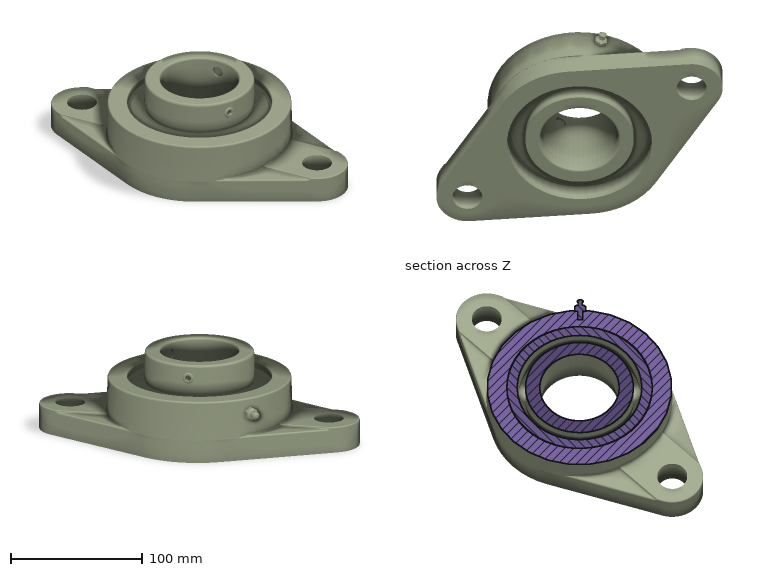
import cadquery as cq
import math

LENGTH = 249.0
WIDTH = 142.0
WAIST_RADIUS = 63.2
WAIST_CENTER = WIDTH / 2 - WAIST_RADIUS
BOLT_HOLE_DIAMETER = 23.0
BOLT_OFFSET = 100.8
END_RADIUS = LENGTH / 2 - BOLT_OFFSET
FLANGE_Z = 20.5
WEB_Z = 19.0
WEB_EDGE_ROUND = 1.2
PAD_HALF_WIDTH = 23.2
PAD_EDGE_ROUND = 1.0
PAD_STEP_ROUND = (FLANGE_Z - WEB_Z) / 2
PAD_TOP_HALF_WIDTH = PAD_HALF_WIDTH - PAD_STEP_ROUND

HUB_BASE_RADIUS = WIDTH / 2
HUB_BASE_Z = 18.0
HUB_TOP_RADIUS = 70.2
HUB_TOP_Z = 48.3
HUB_EDGE_ROUND = 1.5
HUB_CORNER_ROUND = 1.0
SEAT_RADIUS = 55.3
SEAT_EDGE_ROUND = 1.0

BEARING_Z = 29.1
OUTER_RING_HALF_WIDTH = 14.0
RACE_RADIUS = 47.3
COLLAR_RADIUS = 41.8
INNER_RING_RADIUS = 41.3
COLLAR_BOTTOM_Z = 46.3
INNER_RING_BOTTOM_Z = 3.7
INNER_RING_TOP_Z = 68.7
COLLAR_EDGE_ROUND = 2.0
BORE_RADIUS = 30.1
BORE_EDGE_ROUND = 1.7
SEAL_THICKNESS = 2.0
SEAL_RISE = 0.5
SEAL_RADIUS = 52.8
SEAL_RIM_HEIGHT = 0.5
SEAL_CONE_RADIUS = 98.4 / 2

SCREW_Z = 58.5
SCREW_RADIUS = 4.2
SCREW_ANGLES = (90, -30)
SCREW_OUTER_END = 42.5
SCREW_INNER_END = 31.4
SCREW_CHAMFER = 0.7
SOCKET_ACROSS_CORNERS = 5.0
SOCKET_DEPTH = 3.7

NIPPLE_Z = 36.0
NIPPLE_ANGLE = 135
NIPPLE_SHANK_START = 62.2
HEX_START = 69.7
HEX_SHOULDER = 73.5
HEX_END = 75.2
HEX_ACROSS_CORNERS = 10.5
HEX_TOP_RADIUS = 3.2
NECK_RADIUS = 2.5
HEAD_START = 77.5
HEAD_RADIUS = 3.0
HEAD_WIDEST = 78.2
HEAD_LENGTH = 1.0
TIP_RADIUS = 1.2
TIP_END = 80.7


def radial_plane(angle, z):
    """Plane on the Z axis at height z whose normal points outward at the given angle."""
    turn = math.radians(angle)
    return cq.Plane(
        origin=(0, 0, z),
        xDir=(0, 0, 1),
        normal=(math.cos(turn), math.sin(turn), 0),
    )


def plate(height, inset=0):
    """Rhombic plate: waist arcs and end arcs joined by their common tangents, drawn in by the inset."""
    spacing = math.hypot(BOLT_OFFSET, WAIST_CENTER)
    normal = math.acos((WAIST_RADIUS - END_RADIUS) / spacing) - math.atan2(WAIST_CENTER, BOLT_OFFSET)
    waist_x = WAIST_RADIUS * math.cos(normal)
    waist_y = WAIST_CENTER + WAIST_RADIUS * math.sin(normal)
    end_x = BOLT_OFFSET + END_RADIUS * math.cos(normal)
    end_y = END_RADIUS * math.sin(normal)
    outline = (
        cq.Workplane("XY")
        .moveTo(-waist_x, waist_y)
        .threePointArc((0, WIDTH / 2), (waist_x, waist_y))
        .lineTo(end_x, end_y)
        .threePointArc((LENGTH / 2, 0), (end_x, -end_y))
        .lineTo(waist_x, -waist_y)
        .threePointArc((0, -WIDTH / 2), (-waist_x, -waist_y))
        .lineTo(-end_x, -end_y)
        .threePointArc((-LENGTH / 2, 0), (-end_x, end_y))
        .close()
    )
    if inset:
        outline = outline.offset2D(-inset)
    return outline.extrude(height)


def pad_band():
    """Straight bar along X whose long sides step up from the webs in an S of two quarter arcs."""
    toe_y = PAD_HALF_WIDTH + PAD_STEP_ROUND
    middle_z = FLANGE_Z - PAD_STEP_ROUND
    half = (
        cq.Workplane("YZ", origin=(-LENGTH / 2, 0, 0))
        .lineTo(toe_y, 0)
        .lineTo(toe_y, WEB_Z)
        .radiusArc((PAD_HALF_WIDTH, middle_z), PAD_STEP_ROUND)
        .radiusArc((PAD_TOP_HALF_WIDTH, FLANGE_Z), -PAD_STEP_ROUND)
        .lineTo(0, FLANGE_Z)
        .close()
        .extrude(LENGTH)
    )
    return half.union(half.mirror("XZ"))


def make_flange():
    webs = plate(WEB_Z).faces(">Z").edges().fillet(WEB_EDGE_ROUND)
    pads = plate(FLANGE_Z).faces(">Z").edges().fillet(PAD_EDGE_ROUND)
    return webs.union(pads.intersect(pad_band()))


def make_hub():
    hub = (
        cq.Workplane("XZ")
        .polyline([
            (0, HUB_BASE_Z),
            (HUB_BASE_RADIUS, HUB_BASE_Z),
            (HUB_TOP_RADIUS, HUB_TOP_Z),
            (0, HUB_TOP_Z),
        ])
        .close()
        .revolve(360, (0, 0, 0), (0, 1, 0))
    )
    return hub.faces(">Z").edges().fillet(HUB_EDGE_ROUND)


def hub_corner(floor_z):
    """Ring that rounds the concave corner where the hub wall stands on a floor at the given height."""
    wall_slope = (HUB_TOP_RADIUS - HUB_BASE_RADIUS) / (HUB_TOP_Z - HUB_BASE_Z)
    top_z = floor_z + HUB_CORNER_ROUND
    top_radius = HUB_BASE_RADIUS + wall_slope * (top_z - HUB_BASE_Z)
    ring = (
        cq.Workplane("XZ")
        .moveTo(SEAT_RADIUS, floor_z)
        .lineTo(top_radius + HUB_CORNER_ROUND, floor_z)
        .radiusArc((top_radius, top_z), HUB_CORNER_ROUND)
        .lineTo(SEAT_RADIUS, top_z)
        .close()
    )
    return ring.revolve(360, (0, 0, 0), (0, 1, 0))


def make_housing(nipple):
    body = make_flange().union(make_hub())
    web_top = plate(HUB_TOP_Z, WEB_EDGE_ROUND)
    pad_top = cq.Workplane("XY").box(LENGTH, 2 * PAD_TOP_HALF_WIDTH, 2 * HUB_TOP_Z)
    body = body.union(hub_corner(WEB_Z).intersect(web_top))
    body = body.union(hub_corner(FLANGE_Z).intersect(pad_top))
    seat = cq.Workplane("XY").circle(SEAT_RADIUS).extrude(HUB_TOP_Z)
    body = body.cut(seat)
    mouth = body.faces(">Z").edges(cq.selectors.RadiusNthSelector(0))
    body = mouth.fillet(SEAT_EDGE_ROUND)
    bolt_holes = (
        cq.Workplane("XY")
        .pushPoints([(-BOLT_OFFSET, 0), (BOLT_OFFSET, 0)])
        .circle(BOLT_HOLE_DIAMETER / 2)
        .extrude(FLANGE_Z)
    )
    return body.cut(bolt_holes).cut(nipple)


def make_outer_ring(seals):
    ring = cq.Workplane("XY").circle(SEAT_RADIUS).circle(RACE_RADIUS)
    ring = ring.extrude(OUTER_RING_HALF_WIDTH, both=True).translate((0, 0, BEARING_Z))
    for seal in seals:
        ring = ring.cut(seal)
    return ring


def make_inner_ring():
    neck = cq.Workplane("XY", origin=(0, 0, INNER_RING_BOTTOM_Z)).circle(INNER_RING_RADIUS)
    neck = neck.extrude(COLLAR_BOTTOM_Z - INNER_RING_BOTTOM_Z)
    collar = cq.Workplane("XY", origin=(0, 0, COLLAR_BOTTOM_Z)).circle(COLLAR_RADIUS)
    collar = collar.extrude(INNER_RING_TOP_Z - COLLAR_BOTTOM_Z)
    collar = collar.faces(">Z").edges().fillet(COLLAR_EDGE_ROUND)
    bore = cq.Workplane("XY").circle(BORE_RADIUS).extrude(INNER_RING_TOP_Z)
    ring = neck.union(collar).cut(bore)
    bore_edges = ring.faces("<Z or >Z").edges(cq.selectors.RadiusNthSelector(0))
    ring = bore_edges.fillet(BORE_EDGE_ROUND)
    for angle in SCREW_ANGLES:
        hole = cq.Workplane(radial_plane(angle, SCREW_Z)).circle(SCREW_RADIUS).extrude(COLLAR_RADIUS + 2.5)
        ring = ring.cut(hole)
    return ring


def make_seal(side):
    """Shallow conical seal with a flat rim; side is +1 for the upper one and -1 for the lower one."""
    rim_z = BEARING_Z + side * (OUTER_RING_HALF_WIDTH + SEAL_RIM_HEIGHT)
    inner_z = rim_z + side * SEAL_RISE
    thickness = side * SEAL_THICKNESS
    profile = [
        (INNER_RING_RADIUS, inner_z),
        (SEAL_CONE_RADIUS, rim_z),
        (SEAL_RADIUS - SEAL_RIM_HEIGHT, rim_z),
        (SEAL_RADIUS, rim_z - side * SEAL_RIM_HEIGHT),
        (SEAL_RADIUS, rim_z - thickness),
        (SEAL_CONE_RADIUS, rim_z - thickness),
        (INNER_RING_RADIUS, inner_z - thickness),
    ]
    return cq.Workplane("XZ").polyline(profile).close().revolve(360, (0, 0, 0), (0, 1, 0))


def make_screw(angle):
    plane = radial_plane(angle, SCREW_Z)
    screw = cq.Workplane(plane).workplane(offset=SCREW_INNER_END).circle(SCREW_RADIUS)
    screw = screw.extrude(SCREW_OUTER_END - SCREW_INNER_END)
    screw = screw.edges("%CIRCLE").chamfer(SCREW_CHAMFER)
    socket = cq.Workplane(plane).workplane(offset=SCREW_OUTER_END - SOCKET_DEPTH)
    return screw.cut(socket.polygon(6, SOCKET_ACROSS_CORNERS).extrude(SOCKET_DEPTH))


def make_nipple():
    plane = radial_plane(NIPPLE_ANGLE, NIPPLE_Z)
    hexagon = cq.Workplane(plane).workplane(offset=HEX_START).polygon(6, HEX_ACROSS_CORNERS)
    hexagon = hexagon.extrude(HEX_END - HEX_START)
    profile_plane = cq.Plane(origin=(0, 0, NIPPLE_Z), xDir=plane.zDir, normal=plane.yDir)
    axis = ((0, 0, 0), (1, 0, 0))
    corner_radius = HEX_ACROSS_CORNERS / 2
    envelope_points = [
        (HEX_START, 0),
        (HEX_START, corner_radius),
        (HEX_SHOULDER, corner_radius),
        (HEX_END, HEX_TOP_RADIUS),
        (HEX_END, 0),
    ]
    envelope = cq.Workplane(profile_plane).polyline(envelope_points).close().revolve(360, *axis)
    stem_points = [
        (NIPPLE_SHANK_START, 0),
        (NIPPLE_SHANK_START, NECK_RADIUS),
        (HEAD_START, NECK_RADIUS),
        (HEAD_WIDEST, HEAD_RADIUS),
        (HEAD_WIDEST + HEAD_LENGTH, HEAD_RADIUS),
        (TIP_END, TIP_RADIUS),
        (TIP_END, 0),
    ]
    stem = cq.Workplane(profile_plane).polyline(stem_points).close().revolve(360, *axis)
    return hexagon.intersect(envelope).union(stem)


nipple = make_nipple()
housing = make_housing(nipple)
seals = [make_seal(side) for side in (1, -1)]
outer_ring = make_outer_ring(seals)
inner_ring = make_inner_ring()
screws = [make_screw(angle) for angle in SCREW_ANGLES]

result = cq.Compound.makeCompound([
    housing.val(),
    outer_ring.val(),
    inner_ring.val(),
    *[seal.val() for seal in seals],
    *[screw.val() for screw in screws],
    nipple.val(),
])